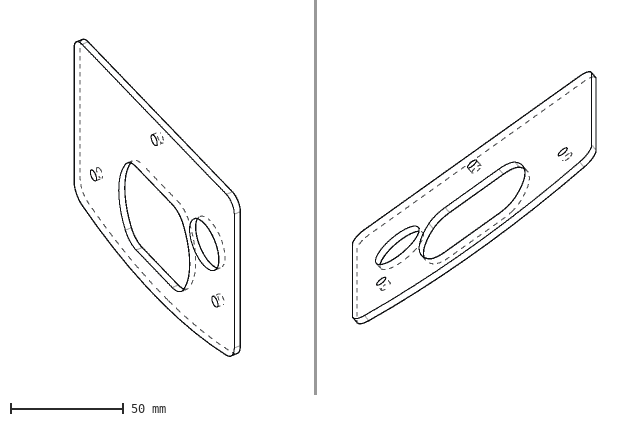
import cadquery as cq

width = 134.5
height = 101.8
thickness = 3.2
top_corner_radius = 6.7
bottom_corner_radius = 9.4
bottom_arc_radius = 219.2

window_width = 59.5
window_height = 48.2
window_side_radius = 35.6
window_corner_radius = 10.8
window_z = -62.5

port_diameter = 24.5
port_x = 42.0
port_z = -42.5

screw_diameter = 5.1
top_screw_z = -12.1
lower_screw_x = 51.0
lower_screw_z = -69.1


def arc_drop(radius, half_chord):
    """Height of a circular arc over its chord."""
    return radius - (radius**2 - half_chord**2) ** 0.5


def make_plate():
    half_width = width / 2
    side_end_z = -height + arc_drop(bottom_arc_radius, half_width)
    plate = (
        cq.Workplane("XZ")
        .moveTo(-half_width, 0)
        .lineTo(half_width, 0)
        .lineTo(half_width, side_end_z)
        .threePointArc((0, -height), (-half_width, side_end_z))
        .close()
        .extrude(thickness / 2, both=True)
    )
    plate = plate.edges("|Y and (not >Z)").fillet(bottom_corner_radius)
    return plate.edges("|Y and >Z").fillet(top_corner_radius)


def make_window():
    half_width = window_width / 2
    half_height = window_height / 2
    flat_end_x = half_width - arc_drop(window_side_radius, half_height)
    return (
        cq.Workplane("XZ", origin=(0, 0, window_z))
        .moveTo(-flat_end_x, half_height)
        .lineTo(flat_end_x, half_height)
        .threePointArc((half_width, 0), (flat_end_x, -half_height))
        .lineTo(-flat_end_x, -half_height)
        .threePointArc((-half_width, 0), (-flat_end_x, half_height))
        .close()
        .extrude(thickness, both=True)
        .edges("|Y")
        .fillet(window_corner_radius)
    )


def make_holes(diameter, centres):
    return (
        cq.Workplane("XZ", origin=(0, thickness / 2, 0))
        .pushPoints(centres)
        .circle(diameter / 2)
        .extrude(thickness)
    )


screw_centres = [
    (0, top_screw_z),
    (-lower_screw_x, lower_screw_z),
    (lower_screw_x, lower_screw_z),
]

result = (
    make_plate()
    .cut(make_window())
    .cut(make_holes(port_diameter, [(port_x, port_z)]))
    .cut(make_holes(screw_diameter, screw_centres))
)